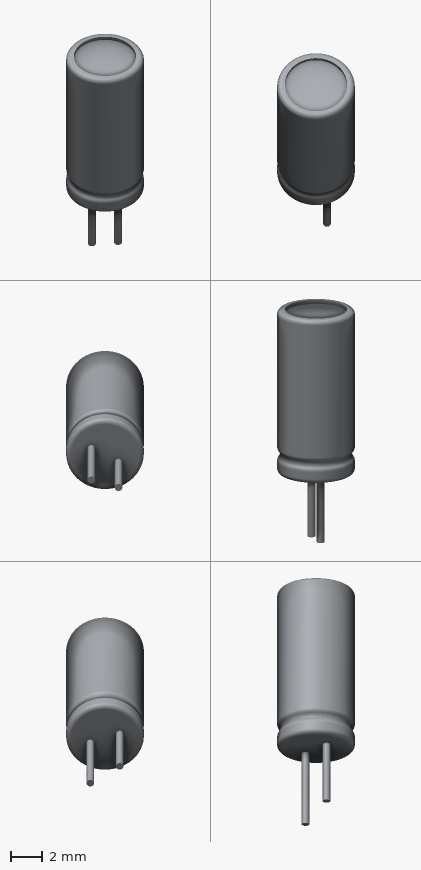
import cadquery as cq


can_diameter = 5.01
can_radius = can_diameter / 2
long_lead_length = 5.0
overall_height = 16.01
can_height = overall_height - long_lead_length
edge_radius = 0.3

recess_radius = 2.0
recess_depth = 0.25

groove_height = 1.28
groove_half_width = 0.46
groove_depth = 0.18
groove_arc_half_width = 0.24

lead_diameter = 0.5
lead_spacing = 2.0
short_lead_length = 4


def make_can():
    """Revolve half of the can's section, drawn in the XZ plane."""
    groove_bottom = groove_height - groove_half_width
    groove_top = groove_height + groove_half_width
    blend_width = groove_half_width - groove_arc_half_width
    flank_radius = can_radius - groove_depth * blend_width / groove_half_width
    flank_bottom = groove_height - groove_arc_half_width
    flank_top = groove_height + groove_arc_half_width
    groove_floor = (can_radius - groove_depth, groove_height)
    edge_inset = can_radius - edge_radius

    profile = (
        cq.Workplane("XZ")
        .lineTo(edge_inset, 0)
        .radiusArc((can_radius, edge_radius), -edge_radius)
        .lineTo(can_radius, groove_bottom)
        .tangentArcPoint((flank_radius, flank_bottom), relative=False)
        .threePointArc(groove_floor, (flank_radius, flank_top))
        .tangentArcPoint((can_radius, groove_top), relative=False)
        .lineTo(can_radius, can_height - edge_radius)
        .radiusArc((edge_inset, can_height), -edge_radius)
        .lineTo(0, can_height)
        .close()
    )
    return profile.revolve(360, (0, 0, 0), (0, 1, 0))


def make_recess():
    floor = cq.Workplane("XY").workplane(offset=can_height - recess_depth)
    return floor.circle(recess_radius).extrude(recess_depth)


def make_lead(x, length):
    """Round wire hanging from the underside of the can."""
    return cq.Workplane("XY").center(x, 0).circle(lead_diameter / 2).extrude(-length)


result = (
    make_can()
    .cut(make_recess())
    .union(make_lead(-lead_spacing / 2, long_lead_length))
    .union(make_lead(lead_spacing / 2, short_lead_length))
)